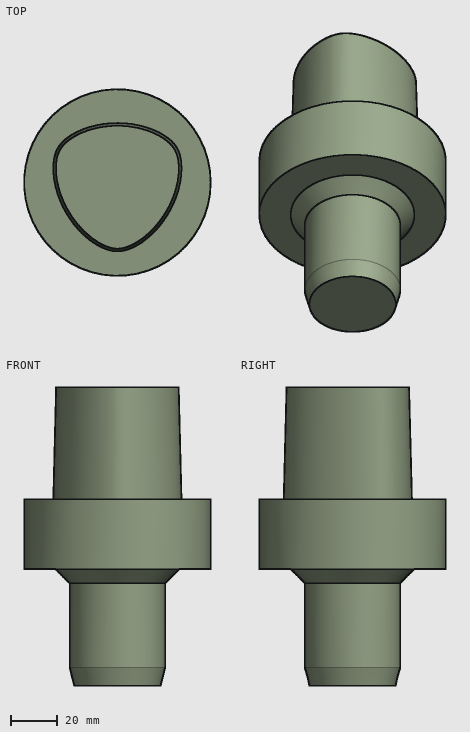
import cadquery as cq
import math

taper_height = 48.0
flange_height = 30.0
neck_height = 6.0
shank_height = 36.0
tip_height = 8.0

flange_radius = 40.0
shank_radius = 20.5
neck_radius = shank_radius + neck_height
tip_radius = 18.5

polygon_base_width = 55.0
taper_ratio = 1 / 20
polygon_top_width = polygon_base_width - taper_height * taper_ratio
lobe_eccentricity = 2.0
lobe_direction = -math.pi / 2
outline_points = 36


def polygon_point(width, angle):
    """Return the outline point whose outward normal is turned by angle from the lobe."""
    normal = angle + lobe_direction
    support = width / 2 + lobe_eccentricity * math.cos(3 * angle)
    slope = -3 * lobe_eccentricity * math.sin(3 * angle)
    x = support * math.cos(normal) - slope * math.sin(normal)
    y = support * math.sin(normal) + slope * math.cos(normal)
    return (x, y)


def polygon_outline(width):
    """Return points around the polygon, at evenly spaced normal directions."""
    step = 2 * math.pi / outline_points
    return [polygon_point(width, i * step) for i in range(outline_points)]


def polygon_taper():
    """Loft the polygon from its wide base to its narrow top."""
    return (
        cq.Workplane("XY")
        .spline(polygon_outline(polygon_base_width), periodic=True, makeWire=True)
        .workplane(offset=taper_height)
        .spline(polygon_outline(polygon_top_width), periodic=True, makeWire=True)
        .loft(ruled=True)
    )


def turned_body():
    """Revolve the flange, conical neck, shank and tapered tip about Z."""
    flange_bottom = -flange_height
    neck_bottom = flange_bottom - neck_height
    shank_bottom = neck_bottom - shank_height
    tip_bottom = shank_bottom - tip_height
    return (
        cq.Workplane("XZ")
        .moveTo(0, 0)
        .lineTo(flange_radius, 0)
        .lineTo(flange_radius, flange_bottom)
        .lineTo(neck_radius, flange_bottom)
        .lineTo(shank_radius, neck_bottom)
        .lineTo(shank_radius, shank_bottom)
        .lineTo(tip_radius, tip_bottom)
        .lineTo(0, tip_bottom)
        .close()
        .revolve(360, (0, 0, 0), (0, 1, 0))
    )


result = turned_body().union(polygon_taper())